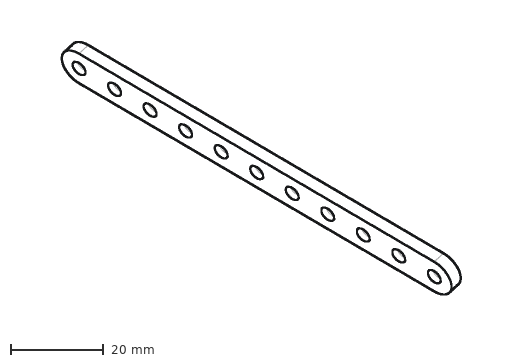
import cadquery as cq

length = 107.3
width = 9.5
thickness = 3.2
hole_count = 11
hole_diameter = 3.5

hole_pitch = (length - width) / (hole_count - 1)


def make_bar():
    """Round-ended bar lying along X, centred on the origin, thin along Y."""
    return cq.Workplane("XZ").slot2D(length, width).extrude(thickness / 2, both=True)


def make_holes():
    """Row of cylinders passing right through the thickness of the bar."""
    return (
        cq.Workplane("XZ")
        .rarray(hole_pitch, 1.1, hole_count, 1)
        .circle(hole_diameter / 2)
        .extrude(thickness, both=True)
    )


result = make_bar().cut(make_holes())